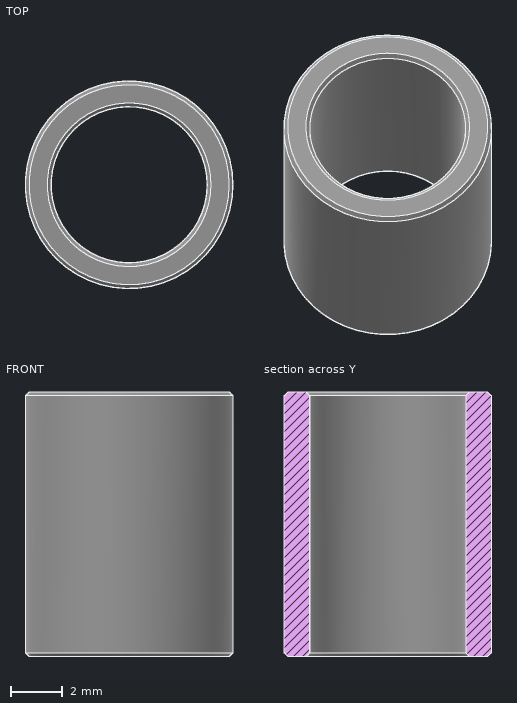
import cadquery as cq

outer_diameter = 8.0
bore_diameter = 6.0
length = 10.2
chamfer_size = 0.15


def make_sleeve():
    """Plain round sleeve along Z with a through bore, standing on the XY plane."""
    return (
        cq.Workplane("XY")
        .circle(outer_diameter / 2)
        .circle(bore_diameter / 2)
        .extrude(length)
    )


def chamfer_end_edges(sleeve):
    """Break the outer and bore edges at both ends."""
    return sleeve.faces("|Z").edges().chamfer(chamfer_size)


result = chamfer_end_edges(make_sleeve())